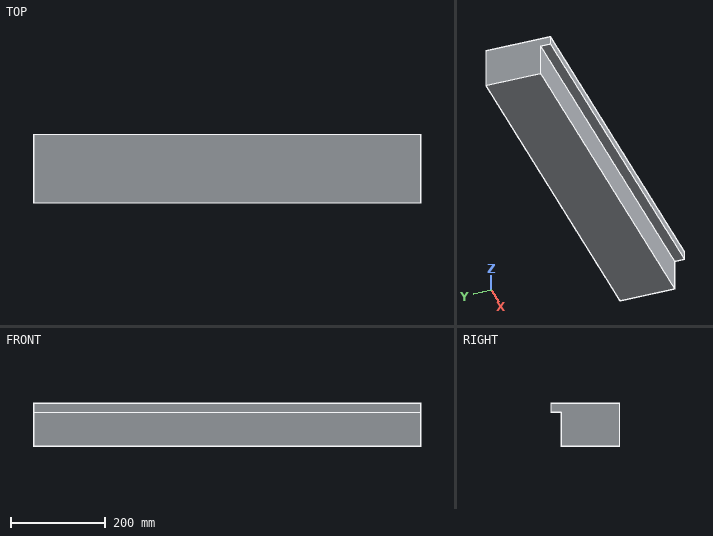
import cadquery as cq

length = 819.0
depth = 146.0
height = 92.0

lip_overhang = 22.0
lip_thickness = 20.0

block = cq.Workplane("XY").box(length, depth, height)

rebate = (
    cq.Workplane("XY")
    .box(length, lip_overhang, height - lip_thickness, centered=(True, False, False))
    .translate((0, -depth / 2, -height / 2))
)

result = block.cut(rebate)